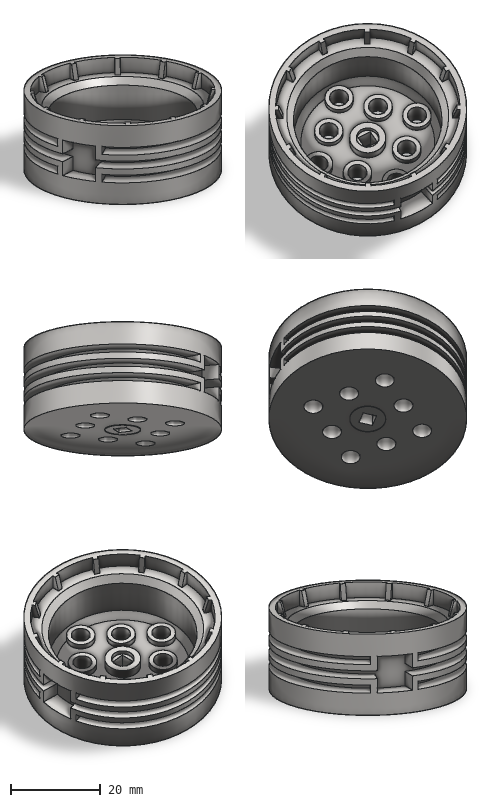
import cadquery as cq
import math

rim_diameter = 44
rim_height = 18.8
outer_radius = rim_diameter / 2
middle_z = rim_height / 2

lip_diameter = 41.0
shelf_depth = 3.6
bevel_diameter = 36.0
bore_diameter = 33
bevel_height = (bevel_diameter - bore_diameter) / 2
floor_depth = 14.75
floor_diameter = 29.75
floor_bevel_height = 1.45
floor_z = rim_height - floor_depth

drum_diameter = 36.0
groove_width = 1.85
land_width = 1.45
groove_pitch = groove_width + land_width
groove_band_height = 3 * groove_width + 2 * land_width
bridge_half_angle = 14.5

pocket_floor_width = 7.0
pocket_mouth_width = 8.15

rib_count = 12
rib_width = 1.25
rib_top_radius = 19.8
rib_foot_radius = 18.85

pin_pitch = 6.35
pin_boss_diameter = 6.35
pin_boss_height = 1.3
pin_hole_diameter = 4.2

hub_diameter = 8.0
hub_height = 2.1
hub_underside = 0.15
hub_recess_diameter = 5.0
hub_recess_depth = 1.0
axle_hole_side = 3.12


def disc(diameter, bottom_z, height):
    return cq.Workplane("XY").workplane(offset=bottom_z).circle(diameter / 2).extrude(height)


def at_angle(radius, angle):
    return (radius * math.cos(math.radians(angle)), radius * math.sin(math.radians(angle)))


def rim_body():
    """Revolve the solid section between the axis, the cavity and the outside."""
    shelf_z = rim_height - shelf_depth
    section = [
        (0, 0),
        (outer_radius, 0),
        (outer_radius, rim_height),
        (lip_diameter / 2, rim_height),
        (lip_diameter / 2, shelf_z),
        (bevel_diameter / 2, shelf_z),
        (bore_diameter / 2, shelf_z - bevel_height),
        (bore_diameter / 2, floor_z + floor_bevel_height),
        (floor_diameter / 2, floor_z),
        (0, floor_z),
    ]
    return cq.Workplane("XZ").polyline(section).close().revolve(360, (0, 0), (0, 1))


def lip_ribs():
    """Ribs cut from a tapered ring inside the lip, from the shelf to the top edge, thicker at the foot."""
    root_radius = (lip_diameter / 2 + outer_radius) / 2
    shelf_z = rim_height - shelf_depth
    side = [
        (root_radius, shelf_z),
        (rib_foot_radius, shelf_z),
        (rib_top_radius, rim_height),
        (root_radius, rim_height),
    ]
    tapered_ring = cq.Workplane("XZ").polyline(side).close().revolve(360, (0, 0), (0, 1))
    spokes = (
        cq.Workplane("XY")
        .workplane(offset=shelf_z)
        .polarArray(outer_radius / 2, 0, 360, rib_count)
        .rect(outer_radius, rib_width)
        .extrude(shelf_depth)
    )
    return tapered_ring.intersect(spokes)


def ring_outside_drum(bottom_z, height):
    """Ring between the drum and the outer surface."""
    return disc(rim_diameter, bottom_z, height).cut(disc(drum_diameter, bottom_z, height))


def side_groove(center_z):
    """Groove on the -X and +X sides, interrupted by a bridge on the -Y and +Y sides."""
    bottom_z = center_z - groove_width / 2
    corner_x, corner_y = at_angle(rim_diameter, 90 - bridge_half_angle)
    bridges = (
        cq.Workplane("XY")
        .workplane(offset=bottom_z)
        .polyline([(0, 0), (corner_x, corner_y), (-corner_x, corner_y)])
        .close()
        .polyline([(0, 0), (corner_x, -corner_y), (-corner_x, -corner_y)])
        .close()
        .extrude(groove_width)
    )
    return ring_outside_drum(bottom_z, groove_width).cut(bridges)


def pockets():
    """Flared pockets, as deep as the grooves and as tall as the whole groove band."""
    floor_x = pocket_floor_width / 2
    mouth_x = pocket_mouth_width / 2
    floor_y = math.sqrt((drum_diameter / 2) ** 2 - floor_x**2)
    mouth_y = math.sqrt(outer_radius**2 - mouth_x**2)
    flare = (mouth_x - floor_x) / (mouth_y - floor_y)
    waist_x = floor_x - flare * floor_y
    end_y = rim_diameter
    end_x = waist_x + flare * end_y
    bottom_z = middle_z - groove_band_height / 2
    wedges = (
        cq.Workplane("XY")
        .workplane(offset=bottom_z)
        .polyline([
            (-end_x, -end_y),
            (end_x, -end_y),
            (waist_x, 0),
            (end_x, end_y),
            (-end_x, end_y),
            (-waist_x, 0),
        ])
        .close()
        .extrude(groove_band_height)
    )
    return ring_outside_drum(bottom_z, groove_band_height).intersect(wedges)


pin_points = []
for column in range(-2, 3):
    for row in range(-2, 3):
        if abs(column) + abs(row) == 2:
            pin_points.append((column * pin_pitch, row * pin_pitch))

wheel = rim_body().union(lip_ribs())

tread_cuts = ring_outside_drum(middle_z - groove_width / 2, groove_width).union(pockets())
for level in (-1, 1):
    tread_cuts = tread_cuts.union(side_groove(middle_z + level * groove_pitch))
wheel = wheel.cut(tread_cuts.clean()).clean()

hub_top_z = floor_z + hub_height
wheel = wheel.union(disc(hub_diameter, -hub_underside, hub_top_z + hub_underside))
wheel = wheel.cut(disc(hub_recess_diameter, hub_top_z - hub_recess_depth, hub_recess_depth))
axle_hole = cq.Workplane("XY").workplane(offset=-hub_underside)
wheel = wheel.cut(axle_hole.rect(axle_hole_side, axle_hole_side).extrude(hub_top_z + hub_underside))

pin_boss_top_z = floor_z + pin_boss_height
for x, y in pin_points:
    wheel = wheel.union(disc(pin_boss_diameter, 0, pin_boss_top_z).translate((x, y, 0)))
    wheel = wheel.cut(disc(pin_hole_diameter, 0, pin_boss_top_z).translate((x, y, 0)))

result = wheel